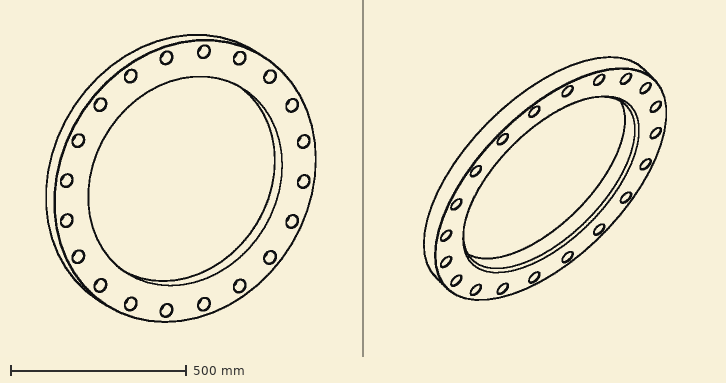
import cadquery as cq

outer_diameter = 840.0
bore_diameter = 622.0
thickness = 55.0
half_thickness = thickness / 2
rim_chamfer = 2.0
bore_chamfer = 8.0

hole_count = 20
hole_diameter = 36.0
hole_chamfer = 2.0
bolt_circle_diameter = 769.5
hole_pitch_angle = 360 / hole_count


def ring():
    """Flange ring: both rim edges chamfered, bore chamfered on the -X side only."""
    outer_radius = outer_diameter / 2
    bore_radius = bore_diameter / 2
    section = [
        (-half_thickness, bore_radius + bore_chamfer),
        (-half_thickness, outer_radius - rim_chamfer),
        (-half_thickness + rim_chamfer, outer_radius),
        (half_thickness - rim_chamfer, outer_radius),
        (half_thickness, outer_radius - rim_chamfer),
        (half_thickness, bore_radius),
        (-half_thickness + bore_chamfer, bore_radius),
    ]
    return cq.Workplane("XY").polyline(section).close().revolve(360, (0, 0, 0), (1, 0, 0))


def bolt_hole(angle):
    """Cutter for one through hole, chamfered at both ends, at an angle about X from +Y."""
    hole_radius = hole_diameter / 2
    mouth_radius = hole_radius + hole_chamfer
    section = [
        (-half_thickness, 0),
        (-half_thickness, mouth_radius),
        (-half_thickness + hole_chamfer, hole_radius),
        (half_thickness - hole_chamfer, hole_radius),
        (half_thickness, mouth_radius),
        (half_thickness, 0),
    ]
    cutter = cq.Workplane("XY").polyline(section).close().revolve(360, (0, 0, 0), (1, 0, 0))
    cutter = cutter.translate((0, bolt_circle_diameter / 2, 0))
    return cutter.rotate((0, 0, 0), (1, 0, 0), angle)


result = ring()
for index in range(hole_count):
    result = result.cut(bolt_hole((index + 0.5) * hole_pitch_angle))